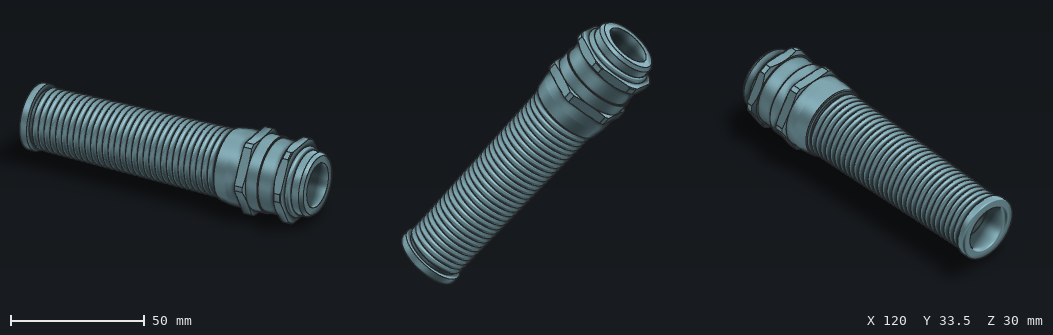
import cadquery as cq
import math

overall_length = 120.0

hex_across_flats = 30.0

bore_dia = 18.0
mouth_dia = 18.4
mouth_length = 10.0
flange_dia = 25.8
flange_length = 3.4
flange_outer_round = 1.0
flange_inner_round = 1.1
rib_count = 31
ribs_start = 4.8
ribs_end = 82.2
tip_tube_dia = 21.6
root_tube_dia = 24.2
rib_pitch = (ribs_end - ribs_start) / rib_count
rib_radius = rib_pitch / 2

nut_start = 83.2
nut_end = 102.4
nut_dia = 29.8
nut_face_dia = 27.5
dome_start_dia = 28.3
dome_mid_dia = 29.3
dome_lip = 0.4
dome_end = 88.8
nut_hex_start = 93.4
nut_hex_end = 97.3
nut_hex_corner_dia = 33.5
nut_hex_front_slope = 0.2
nut_hex_back_chamfer = 0.4
nut_hex_back_chamfer_dia = 30.5
collar_chamfer = 0.2

spigot_dia = 26.9
body_bore_dia = 17.3
body_dia = 28.6
body_hex_start = 109.2
body_hex_end = 113.0
body_hex_corner_dia = 32.9
hex_front_chamfer_dia = 30.0
hex_front_chamfer = 1.1
hex_back_chamfer = 0.4
thread_dia = 25.0
thread_start = 115.1
thread_start_chamfer = 0.4
thread_tip_dia = 22.8
thread_chamfer_length = 1.5

ring_width = thread_start - body_hex_end
ring_outer_dia = 27.4
ring_shoulder_dia = ring_outer_dia - ring_width
groove_dia = 22.8


def revolve_about_x(profile):
    """Turn a closed profile, drawn as (x, radius), about the X axis."""
    return profile.close().revolve(360, (0, 0, 0), (1, 0, 0))


def cylinder(start, end, diameter):
    return cq.Workplane("YZ", origin=(start, 0, 0)).circle(diameter / 2).extrude(end - start)


def hexagon(start, end):
    """Hexagonal prism along X with two flats facing up and down."""
    across_corners = hex_across_flats / math.cos(math.radians(30))
    return cq.Workplane("YZ", origin=(start, 0, 0)).polygon(6, across_corners).extrude(end - start)


def round_mouth_edge(sleeve, pick, radius):
    """Round the longest (max) or shortest (min) edge of the flange face."""
    edge = pick(sleeve.faces("<X").edges().vals(), key=lambda candidate: candidate.Length())
    return sleeve.newObject([edge]).fillet(radius)


def make_sleeve():
    outline = cq.Workplane("XY").moveTo(dome_end, bore_dia / 2)
    outline = outline.lineTo(mouth_length, bore_dia / 2)
    outline = outline.lineTo(mouth_length, mouth_dia / 2)
    outline = outline.lineTo(0, mouth_dia / 2)
    outline = outline.lineTo(0, flange_dia / 2)
    outline = outline.lineTo(flange_length, flange_dia / 2)
    outline = outline.lineTo(flange_length, tip_tube_dia / 2)
    outline = outline.lineTo(ribs_start, tip_tube_dia / 2)
    rise_per_rib = (root_tube_dia - tip_tube_dia) / 2 / rib_count
    for rib in range(rib_count):
        valley_x = ribs_start + rib * rib_pitch
        valley_radius = tip_tube_dia / 2 + rib * rise_per_rib
        crest = (valley_x + rib_pitch / 2, valley_radius + rise_per_rib / 2 + rib_radius)
        outline = outline.threePointArc(crest, (valley_x + rib_pitch, valley_radius + rise_per_rib))
    outline = outline.lineTo(dome_end, root_tube_dia / 2)
    sleeve = revolve_about_x(outline)
    sleeve = round_mouth_edge(sleeve, max, flange_outer_round)
    return round_mouth_edge(sleeve, min, flange_inner_round)


def make_nut():
    dome_mid_x = (nut_start + dome_lip + dome_end) / 2
    shell = revolve_about_x(
        cq.Workplane("XY")
        .moveTo(nut_start, 0)
        .lineTo(nut_start, nut_face_dia / 2)
        .lineTo(nut_start + dome_lip, dome_start_dia / 2)
        .threePointArc((dome_mid_x, dome_mid_dia / 2), (dome_end, nut_dia / 2))
        .lineTo(nut_end - collar_chamfer, nut_dia / 2)
        .lineTo(nut_end, nut_dia / 2 - collar_chamfer)
        .lineTo(nut_end, 0)
    )
    corner_radius = nut_hex_corner_dia / 2
    blank = revolve_about_x(
        cq.Workplane("XY")
        .moveTo(nut_hex_start, 0)
        .lineTo(nut_hex_start, nut_dia / 2)
        .lineTo(nut_hex_start + nut_hex_front_slope, corner_radius)
        .lineTo(nut_hex_end - nut_hex_back_chamfer, corner_radius)
        .lineTo(nut_hex_end, nut_hex_back_chamfer_dia / 2)
        .lineTo(nut_hex_end, 0)
    )
    band = hexagon(nut_hex_start, nut_hex_end).intersect(blank)
    return (
        shell.union(band)
        .cut(cylinder(nut_start, dome_end, root_tube_dia))
        .cut(cylinder(dome_end, nut_end, spigot_dia))
    )


def make_body():
    turned = revolve_about_x(
        cq.Workplane("XY")
        .moveTo(dome_end, body_bore_dia / 2)
        .lineTo(dome_end, spigot_dia / 2)
        .lineTo(nut_end, spigot_dia / 2)
        .lineTo(nut_end, body_dia / 2)
        .lineTo(body_hex_end, body_dia / 2)
        .lineTo(body_hex_end, groove_dia / 2)
        .lineTo(thread_start, groove_dia / 2)
        .lineTo(thread_start, thread_dia / 2 - thread_start_chamfer)
        .lineTo(thread_start + thread_start_chamfer, thread_dia / 2)
        .lineTo(overall_length - thread_chamfer_length, thread_dia / 2)
        .lineTo(overall_length, thread_tip_dia / 2)
        .lineTo(overall_length, body_bore_dia / 2)
    )
    corner_radius = body_hex_corner_dia / 2
    chamfered_blank = revolve_about_x(
        cq.Workplane("XY")
        .moveTo(body_hex_start, body_bore_dia / 2)
        .lineTo(body_hex_start, hex_front_chamfer_dia / 2)
        .lineTo(body_hex_start + hex_front_chamfer, corner_radius)
        .lineTo(body_hex_end - hex_back_chamfer, corner_radius)
        .lineTo(body_hex_end, corner_radius - hex_back_chamfer)
        .lineTo(body_hex_end, body_bore_dia / 2)
    )
    band = hexagon(body_hex_start, body_hex_end).intersect(chamfered_blank)
    return turned.union(band)


def make_ring():
    return revolve_about_x(
        cq.Workplane("XY")
        .moveTo(body_hex_end, groove_dia / 2)
        .lineTo(body_hex_end, ring_shoulder_dia / 2)
        .threePointArc(
            ((body_hex_end + thread_start) / 2, ring_outer_dia / 2),
            (thread_start, ring_shoulder_dia / 2),
        )
        .lineTo(thread_start, groove_dia / 2)
    )


sleeve = make_sleeve()
nut = make_nut()
body = make_body()
ring = make_ring()
result = cq.Compound.makeCompound([sleeve.val(), nut.val(), body.val(), ring.val()])